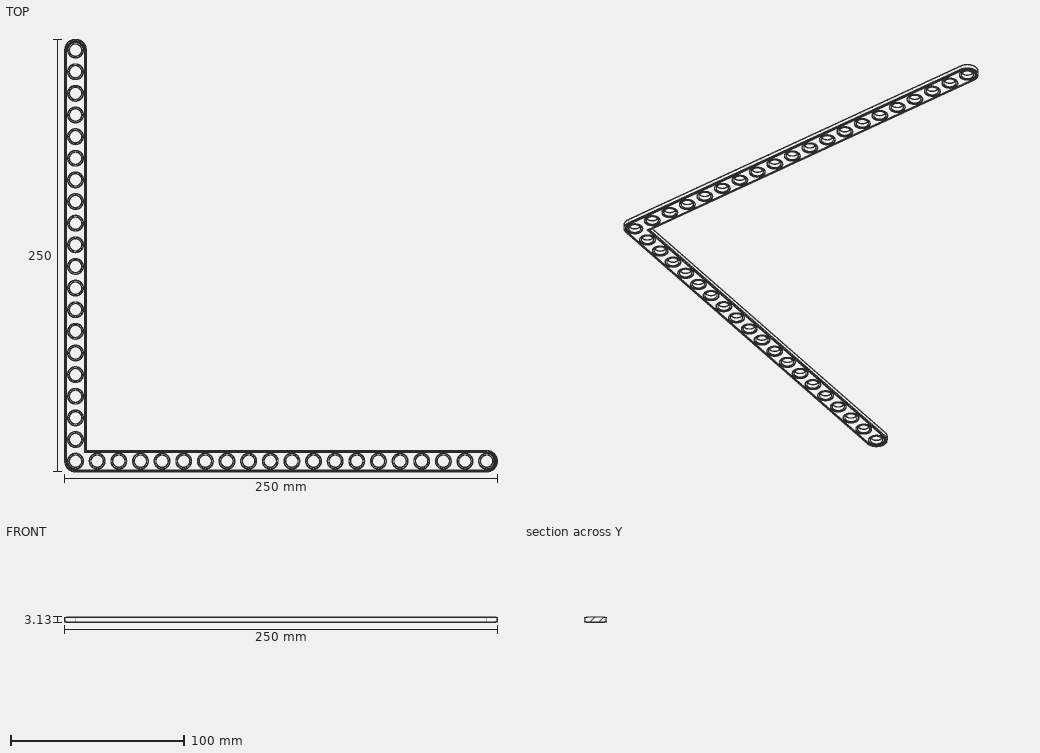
import cadquery as cq

pitch = 12.5
holes_per_arm = 20
thickness = pitch / 4
hole_diameter = 7.0
recess_diameter = 9.2
recess_depth = 0.2
rim_depth = 0.3

arm_width = pitch
arm_span = (holes_per_arm - 1) * pitch
rim_width = (recess_diameter - hole_diameter) / 2
land_base_inset = rim_width - rim_depth
recess_floor_diameter = recess_diameter - 2 * recess_depth


def angle_plate(width, height, bottom):
    """L-shaped flat bar with round ends, its corner hole centre at the origin."""
    arm_x = (
        cq.Workplane("XY")
        .workplane(offset=bottom)
        .center(arm_span / 2, 0)
        .slot2D(arm_span + width, width)
        .extrude(height)
    )
    arm_y = arm_x.rotate((0, 0, 0), (0, 0, 1), 90)
    return arm_x.union(arm_y).clean()


def stepped_plate():
    """Plate whose outer edge is stepped down to a low rim on both faces."""
    core = angle_plate(arm_width, thickness - 2 * rim_depth, rim_depth)
    land = angle_plate(arm_width - 2 * land_base_inset, thickness, 0)
    land = land.faces(">Z or <Z").chamfer(rim_depth)
    return core.union(land)


def hole_centers():
    """Hole centres of both arms; the corner hole is shared."""
    along_x = [(i * pitch, 0) for i in range(holes_per_arm)]
    along_y = [(0, i * pitch) for i in range(1, holes_per_arm)]
    return along_x + along_y


def hole_cutter():
    """Through hole with a shallow recess, sloped at 45 degrees, on both faces."""
    bore = cq.Workplane("XY").circle(hole_diameter / 2).extrude(thickness)
    upper_recess = cq.Workplane(
        cq.Solid.makeCone(
            recess_floor_diameter / 2,
            recess_diameter / 2,
            recess_depth,
            cq.Vector(0, 0, thickness - recess_depth),
        )
    )
    lower_recess = upper_recess.mirror("XY", (0, 0, thickness / 2))
    return bore.union(upper_recess).union(lower_recess)


def hole_pattern():
    """A hole cutter at every hole centre."""
    cutter = hole_cutter().val()
    return (
        cq.Workplane("XY")
        .pushPoints(hole_centers())
        .eachpoint(lambda location: cutter.located(location))
    )


result = stepped_plate().cut(hole_pattern())